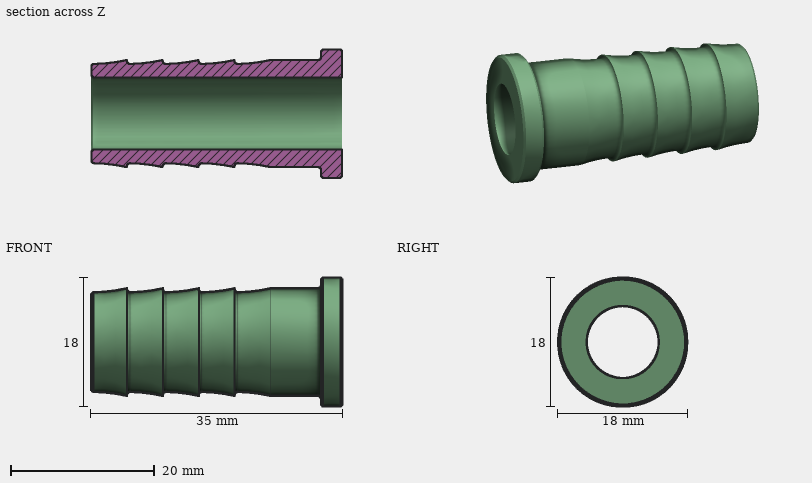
import cadquery as cq
import math

total_length = 35.0
flange_thickness = 3.0
barb_count = 5
barb_pitch = 5.0

bore_radius = 10.0 / 2
flange_radius = 18.0 / 2
tip_radius = 15.0 / 2
barb_rise = 0.55
root_radius = tip_radius - barb_rise

chamfer = 0.3
fillet_radius = 0.4

flank_radius = (barb_pitch**2 + barb_rise**2) / (2 * barb_rise)
flange_face = total_length - flange_thickness

fillet_reach = fillet_radius * (1 - math.cos(math.radians(45)))


def flank_height(offset):
    """Radius of the barb flank at a distance behind the start of the barb."""
    return root_radius + flank_radius - math.sqrt(flank_radius**2 - offset**2)


def add_flank(profile, barb_start, flank_offset):
    """Concave flank from flank_offset up to the barb tip."""
    middle_offset = (flank_offset + barb_pitch) / 2
    middle = (barb_start + middle_offset, flank_height(middle_offset))
    tip = (barb_start + barb_pitch, tip_radius)
    return profile.threePointArc(middle, tip)


def add_root(profile, tip_x):
    """Step down behind a barb tip, with a fillet running into the next flank."""
    fillet_end_radius = flank_height(fillet_radius)
    profile = profile.lineTo(tip_x, fillet_end_radius + fillet_radius)
    return profile.threePointArc(
        (tip_x + fillet_reach, fillet_end_radius + fillet_reach),
        (tip_x + fillet_radius, fillet_end_radius),
    )


def add_flange(profile):
    """Plain shank, fillet under the flange and the flange with chamfered rims."""
    return (
        profile.lineTo(flange_face - fillet_radius, tip_radius)
        .threePointArc(
            (flange_face - fillet_reach, tip_radius + fillet_reach),
            (flange_face, tip_radius + fillet_radius),
        )
        .lineTo(flange_face, flange_radius - chamfer)
        .lineTo(flange_face + chamfer, flange_radius)
        .lineTo(total_length - chamfer, flange_radius)
        .lineTo(total_length, flange_radius - chamfer)
    )


def hose_fitting():
    """Half section of the whole fitting, revolved about the X axis."""
    nose_radius = flank_height(chamfer)
    profile = (
        cq.Workplane("XY")
        .moveTo(chamfer, bore_radius)
        .lineTo(0, bore_radius + chamfer)
        .lineTo(0, nose_radius - chamfer)
        .lineTo(chamfer, nose_radius)
    )
    profile = add_flank(profile, 0, chamfer)
    for index in range(1, barb_count):
        barb_start = index * barb_pitch
        profile = add_root(profile, barb_start)
        profile = add_flank(profile, barb_start, fillet_radius)
    profile = add_flange(profile).lineTo(total_length, bore_radius).close()
    return profile.revolve(360, (0, 0, 0), (1, 0, 0))


result = hose_fitting()